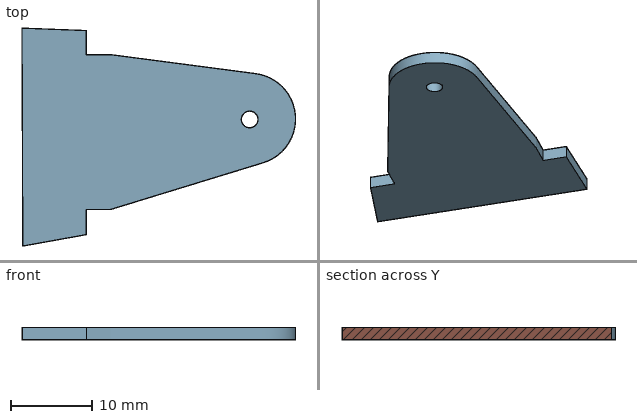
import cadquery as cq

length = 33.63
thickness = 1.5

bar_width = 7.95
bar_top_left = 11.23
bar_top_right = 10.93
bar_bottom_left = -15.57
bar_bottom_right = -14.15
bottom_corner_inset = 0.1

neck_end = 10.93
neck_top = 7.97
neck_bottom = -11.05
tip_top = (28.65, 5.65)
tip_bottom = (29.6, -5.35)
tip_end = (length, 0.0)

hole_diameter = 2.02
hole_x = 27.98

result = (
    cq.Workplane("XY")
    .moveTo(0, bar_top_left)
    .lineTo(bar_width, bar_top_right)
    .lineTo(bar_width, neck_top)
    .lineTo(neck_end, neck_top)
    .lineTo(*tip_top)
    .threePointArc(tip_end, tip_bottom)
    .lineTo(neck_end, neck_bottom)
    .lineTo(bar_width, neck_bottom)
    .lineTo(bar_width, bar_bottom_right)
    .lineTo(bottom_corner_inset, bar_bottom_left)
    .close()
    .extrude(thickness)
    .faces(">Z")
    .workplane(origin=(0, 0, thickness))
    .center(hole_x, 0)
    .hole(hole_diameter)
)